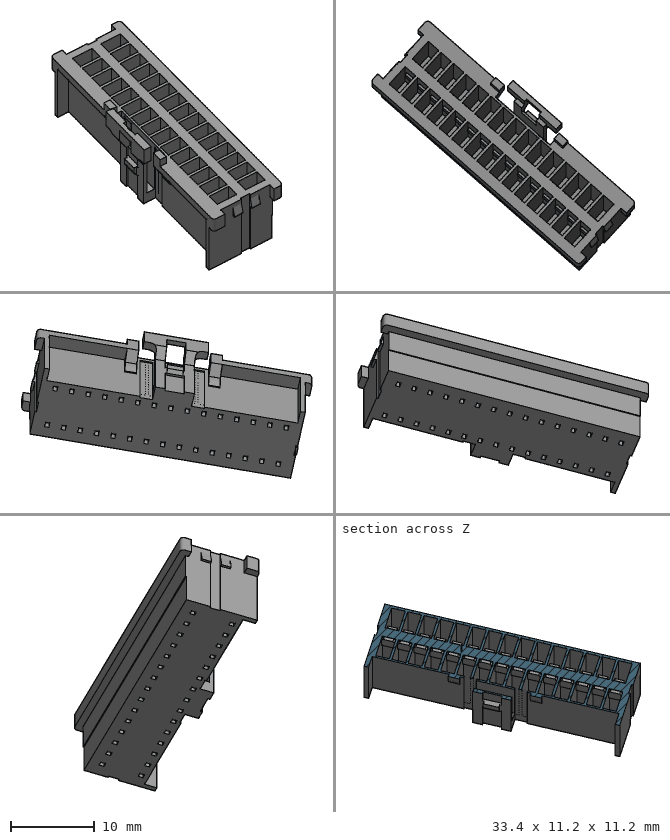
import cadquery as cq


LENGTH = 33.4
FLANGE_BACK = 10.2
TOP = 9.32
FLANGE_BOTTOM = 7.25
CORNER_RADIUS = 0.47
BODY_LENGTH = 31.65
BODY_BACK = 9.3
LOWER_BACK = 9.2
BACK_STEP_Z = 3.85

EAR_FRONT_DEPTH = 1.7
EAR_BACK_DEPTH = 1.3
GROOVE_DEPTH = 0.2
GROOVE_FRONT = 4.75
GROOVE_BACK = 6.05

BUMP_LENGTH = 1.25
BUMP_HEIGHT = 0.3
BUMP_BOTTOM = 7.2
BUMP_EDGE = 7.4
BUMP_TOP = 8.55

WALL_Y = 1.6
CHEEK_WIDTH = 0.6
LEDGE_Z = 8.2

LUG_INNER_X = 4.38
LUG_WIDTH = 1.4
LUG_DEPTH = 0.9
LUG_TOP = 10.45
GUSSET_FACE_Y = 1.27
GUSSET_FOOT_Y = 1.47
GUSSET_FACE_TOP = 7.08
GUSSET_FACE_BOTTOM = 6.2
GUSSET_BOTTOM = 5.3

ARM_WIDTH = 4.75
ARM_THICKNESS = 0.55
ARM_TOP = TOP
ARM_ROOT_Z = 1.6
BAR_WIDTH = 7.8
BAR_DEPTH = 1.0
BAR_TOP = 11.15
BAR_BOTTOM = 8.75
BAR_FILLET = 1.0
BAR_SLOPE_TOP = 8.42
BAR_SLOPE_BOTTOM = 6.7

WINDOW_WIDTH = 2.35
WINDOW_TOP = 10.15
SKIN = 0.27
CATCH_WIDTH = 1.95
CATCH_DEPTH = 0.4
CATCH_TOP = 5.2
CATCH_EDGE = 4.3
CATCH_BOTTOM = 3.8

POCKET_Y = 1.77

CELLS_PER_ROW = 15
PITCH = 2.0
CELL_WIDTH = 1.65
CELL_DEPTH = 2.85
CELL_FLOOR_Z = 1.0
FRONT_CELL_Y = 1.9
BACK_CELL_Y = 6.05
PIN_WIDTH = 0.5
PIN_DEPTH = 0.6
FRONT_PIN_Y = 2.5
BACK_PIN_Y = 7.55

STOP_TOP = 6.68
STOP_HEIGHT = 1.35
STOP_WIDTH = 1.17
STOP_SHOULDER = 0.3
FRONT_STOP_DEPTH = 0.4
BACK_STOP_DEPTH = 0.3


def block(x0, x1, y0, y1, z0, z1):
    """Box given by its limits along each axis."""
    return cq.Workplane("XY").box(x1 - x0, y1 - y0, z1 - z0, centered=False).translate((x0, y0, z0))


def centered_block(width, y0, y1, z0, z1):
    """Box centred on X = 0."""
    return block(-width / 2, width / 2, y0, y1, z0, z1)


def profile_along_x(points, x0, x1):
    """Prism of a (Y, Z) outline running from x0 to x1."""
    return cq.Workplane("YZ").polyline(points).close().extrude(x1 - x0).translate((x0, 0, 0))


def both_sides(shape):
    """Shape together with its mirror image about X = 0."""
    return shape.union(shape.mirror("YZ"))


def make_housing():
    body = centered_block(BODY_LENGTH, 0, LOWER_BACK, 0, TOP)
    body = body.union(centered_block(BODY_LENGTH, 0, BODY_BACK, BACK_STEP_Z, TOP))
    flange = centered_block(LENGTH, 0, FLANGE_BACK, FLANGE_BOTTOM, TOP)
    flange = flange.edges("|Z").fillet(CORNER_RADIUS)
    ear_gap = block(BODY_LENGTH / 2, LENGTH, EAR_FRONT_DEPTH, FLANGE_BACK - EAR_BACK_DEPTH, 0, TOP)
    groove_x = BODY_LENGTH / 2 - GROOVE_DEPTH
    groove = block(groove_x, LENGTH, GROOVE_FRONT, GROOVE_BACK, 0, TOP)
    return body.union(flange).cut(both_sides(ear_gap.union(groove)))


def make_end_bumps():
    wall_x = BODY_LENGTH / 2
    root_x = wall_x - GROOVE_DEPTH
    tip_x = wall_x + BUMP_HEIGHT
    outline = [
        (root_x, BUMP_BOTTOM),
        (tip_x, BUMP_BOTTOM),
        (tip_x, BUMP_EDGE),
        (wall_x, BUMP_TOP),
        (root_x, BUMP_TOP),
    ]
    bump = cq.Workplane("XZ").polyline(outline).close().extrude(-BUMP_LENGTH)
    front_bump = bump.translate((0, GROOVE_FRONT - BUMP_LENGTH, 0))
    back_bump = bump.translate((0, GROOVE_BACK, 0))
    return both_sides(front_bump.union(back_bump))


def make_front_recess():
    recess = centered_block(BODY_LENGTH - 2 * CHEEK_WIDTH, 0, WALL_Y, 0, LEDGE_Z)
    latch_gap = centered_block(2 * LUG_INNER_X, 0, WALL_Y, 0, TOP)
    pocket = block(ARM_WIDTH / 2, BAR_WIDTH / 2, 0, POCKET_Y, 0, BAR_BOTTOM)
    return recess.union(latch_gap).union(both_sides(pocket))


def make_lugs():
    outer_x = LUG_INNER_X + LUG_WIDTH
    lug = block(LUG_INNER_X, outer_x, 0, LUG_DEPTH, LEDGE_Z, LUG_TOP)
    gusset_outline = [
        (0, LEDGE_Z),
        (GUSSET_FACE_Y, GUSSET_FACE_TOP),
        (GUSSET_FACE_Y, GUSSET_FACE_BOTTOM),
        (GUSSET_FOOT_Y, GUSSET_BOTTOM),
        (WALL_Y, GUSSET_BOTTOM),
        (WALL_Y, LEDGE_Z),
    ]
    gusset = profile_along_x(gusset_outline, LUG_INNER_X, outer_x)
    return both_sides(lug.union(gusset))


def make_bar():
    """Bar with a filleted stem below it, cut off by a sloping underside."""
    half_bar = BAR_WIDTH / 2
    half_arm = ARM_WIDTH / 2
    bar = (
        cq.Workplane("XZ")
        .moveTo(0, BAR_TOP)
        .lineTo(half_bar, BAR_TOP)
        .lineTo(half_bar, BAR_BOTTOM)
        .lineTo(half_arm + BAR_FILLET, BAR_BOTTOM)
        .radiusArc((half_arm, BAR_BOTTOM - BAR_FILLET), -BAR_FILLET)
        .lineTo(half_arm, BAR_SLOPE_BOTTOM)
        .lineTo(0, BAR_SLOPE_BOTTOM)
        .close()
        .extrude(BAR_DEPTH)
    )
    below_slope = profile_along_x(
        [(-BAR_DEPTH, BAR_SLOPE_TOP), (0, BAR_SLOPE_BOTTOM), (-BAR_DEPTH, BAR_SLOPE_BOTTOM)],
        -half_bar,
        half_bar,
    )
    return both_sides(bar).cut(below_slope)


def make_latch():
    arm = centered_block(ARM_WIDTH, 0, ARM_THICKNESS, 0, ARM_TOP)
    root = centered_block(ARM_WIDTH, 0, POCKET_Y, 0, ARM_ROOT_Z)
    latch = arm.union(root).union(make_bar())

    window = centered_block(WINDOW_WIDTH, -BAR_DEPTH, ARM_THICKNESS, BAR_SLOPE_BOTTOM, WINDOW_TOP)
    bar_notch = centered_block(WINDOW_WIDTH, -CATCH_DEPTH, ARM_THICKNESS, BAR_SLOPE_BOTTOM, BAR_TOP)
    upper_recess = centered_block(WINDOW_WIDTH, 0, SKIN, CATCH_TOP, BAR_SLOPE_BOTTOM)
    lower_groove = centered_block(WINDOW_WIDTH, 0, SKIN, 0, CATCH_BOTTOM)
    for cutter in (window, bar_notch, upper_recess, lower_groove):
        latch = latch.cut(cutter)

    catch_outline = [
        (SKIN, CATCH_TOP),
        (-CATCH_DEPTH, CATCH_TOP),
        (-CATCH_DEPTH, CATCH_EDGE),
        (0, CATCH_BOTTOM),
        (SKIN, CATCH_BOTTOM),
    ]
    return latch.union(profile_along_x(catch_outline, -CATCH_WIDTH / 2, CATCH_WIDTH / 2))


def make_front_stop():
    """Stop on the back wall of a front cell, with sloping shoulders across the full cell."""
    half_cell = CELL_WIDTH / 2
    half_top = STOP_WIDTH / 2
    outline = [
        (-half_top, STOP_TOP),
        (half_top, STOP_TOP),
        (half_cell, STOP_TOP - STOP_SHOULDER),
        (half_cell, STOP_TOP - STOP_HEIGHT),
        (-half_cell, STOP_TOP - STOP_HEIGHT),
        (-half_cell, STOP_TOP - STOP_SHOULDER),
    ]
    stop = cq.Workplane("XZ").polyline(outline).close().extrude(FRONT_STOP_DEPTH)
    return stop.translate((0, FRONT_CELL_Y + CELL_DEPTH, 0))


def make_back_stop():
    """Plain stop on the front wall of a back cell."""
    return centered_block(
        STOP_WIDTH, BACK_CELL_Y, BACK_CELL_Y + BACK_STOP_DEPTH, STOP_TOP - STOP_HEIGHT, STOP_TOP
    )


def make_cell(cell_y, pin_y, stop):
    """Cavity of one contact cell with its pin hole through the floor."""
    cavity = centered_block(CELL_WIDTH, cell_y, cell_y + CELL_DEPTH, CELL_FLOOR_Z, TOP)
    pin_hole = centered_block(PIN_WIDTH, pin_y - PIN_DEPTH / 2, pin_y + PIN_DEPTH / 2, 0, CELL_FLOOR_Z)
    return cavity.cut(stop).union(pin_hole)


def make_cells():
    front_cell = make_cell(FRONT_CELL_Y, FRONT_PIN_Y, make_front_stop()).val()
    back_cell = make_cell(BACK_CELL_Y, BACK_PIN_Y, make_back_stop()).val()
    cells = cq.Workplane("XY")
    for column in range(CELLS_PER_ROW):
        x = (column - (CELLS_PER_ROW - 1) / 2) * PITCH
        cells = cells.add(front_cell.translate(cq.Vector(x, 0, 0)))
        cells = cells.add(back_cell.translate(cq.Vector(x, 0, 0)))
    return cq.Workplane(cq.Compound.makeCompound(cells.vals()))


result = (
    make_housing()
    .union(make_end_bumps())
    .cut(make_front_recess())
    .union(make_lugs())
    .union(make_latch())
    .cut(make_cells())
)